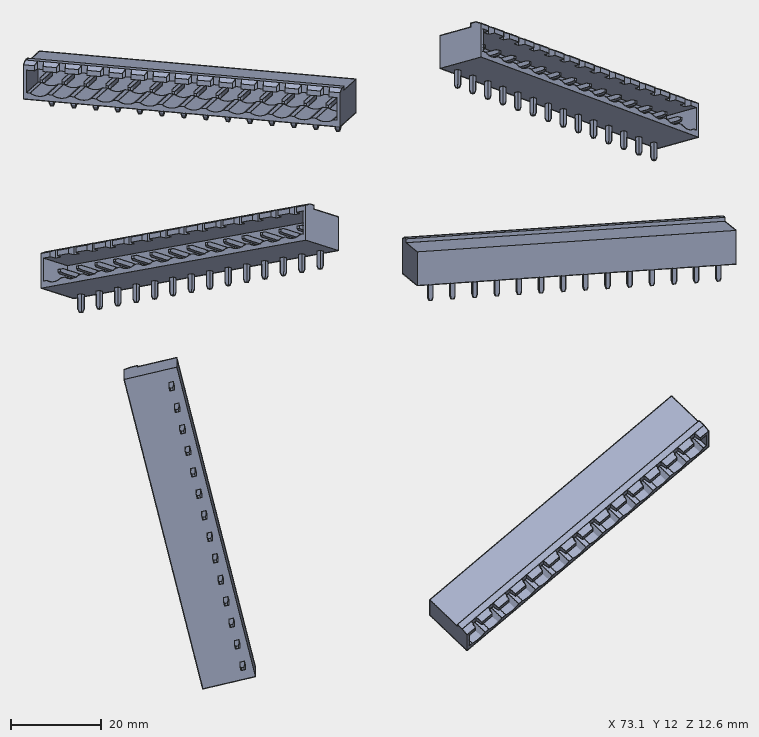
import cadquery as cq

length = 73.1
depth = 12.0
overall_height = 12.6
housing_height = 8.55

lip_depth = 3.1
lip_step = 0.9
bevel_depth = 1.5
bevel_drop = 0.65

end_wall = 0.7
floor_thickness = 1.5
roof_drop = 1.8
back_wall = 3.3

pin_count = 14
pin_span = 66.0
pin_width = 1.0
tip_width = 0.6
tip_length = 0.7
contact_height = 3.9
contact_recess = 2.0
tail_from_back = 2.05

scallop_width = 3.95
scallop_depth = 0.6

notch_back_width = 1.4
notch_front_width = 2.0

half_length = length / 2
cavity_depth = depth - back_wall
cavity_top = housing_height - roof_drop
tail_length = overall_height - housing_height
pitch = pin_span / (pin_count - 1)
pin_positions = [i * pitch - pin_span / 2 for i in range(pin_count)]


def make_housing():
    """Side profile with the stepped, bevelled lip, extruded along X."""
    return (
        cq.Workplane("YZ", origin=(-half_length, 0, 0))
        .moveTo(0, 0)
        .lineTo(depth, 0)
        .lineTo(depth, housing_height - lip_step)
        .lineTo(lip_depth, housing_height - lip_step)
        .lineTo(lip_depth, housing_height)
        .lineTo(bevel_depth, housing_height)
        .lineTo(0, housing_height - bevel_drop)
        .close()
        .extrude(length)
    )


def make_cavity():
    """Front cavity whose floor dips in an arc under each contact."""
    side = half_length - end_wall
    outline = cq.Workplane("XZ").moveTo(-side, cavity_top).lineTo(-side, floor_thickness)
    for x in pin_positions:
        outline = outline.lineTo(x - scallop_width / 2, floor_thickness).threePointArc(
            (x, floor_thickness - scallop_depth),
            (x + scallop_width / 2, floor_thickness),
        )
    outline = outline.lineTo(side, floor_thickness).lineTo(side, cavity_top).close()
    return outline.extrude(-cavity_depth)


def make_notch(x):
    """Tapered slot through the bevelled part of the lip, down into the cavity."""
    return (
        cq.Workplane("XY", origin=(x, 0, cavity_top))
        .polyline([
            (-notch_front_width / 2, 0),
            (notch_front_width / 2, 0),
            (notch_back_width / 2, bevel_depth),
            (-notch_back_width / 2, bevel_depth),
        ])
        .close()
        .extrude(roof_drop)
    )


def make_pin(plane, pin_length):
    """Square pin along the plane normal, ending in a tapered tip."""
    shank_length = pin_length - tip_length
    shank = cq.Workplane(plane).rect(pin_width, pin_width).extrude(shank_length)
    tip = (
        cq.Workplane(plane)
        .workplane(offset=shank_length)
        .rect(pin_width, pin_width)
        .workplane(offset=tip_length)
        .rect(tip_width, tip_width)
        .loft(ruled=True)
    )
    return shank.union(tip)


def make_contact(x):
    """Contact pointing forward in the cavity and its solder tail below the housing.

    Both pins start inside the back wall, at the crossing of their axes.
    """
    corner = (x, depth - tail_from_back, contact_height)
    forward = cq.Plane(origin=corner, xDir=(1, 0, 0), normal=(0, -1, 0))
    downward = cq.Plane(origin=corner, xDir=(1, 0, 0), normal=(0, 0, -1))
    blade = make_pin(forward, depth - tail_from_back - contact_recess)
    tail = make_pin(downward, contact_height + tail_length)
    return blade.union(tail)


result = make_housing().cut(make_cavity())
for pin_x in pin_positions:
    result = result.cut(make_notch(pin_x))
for pin_x in pin_positions:
    result = result.union(make_contact(pin_x))